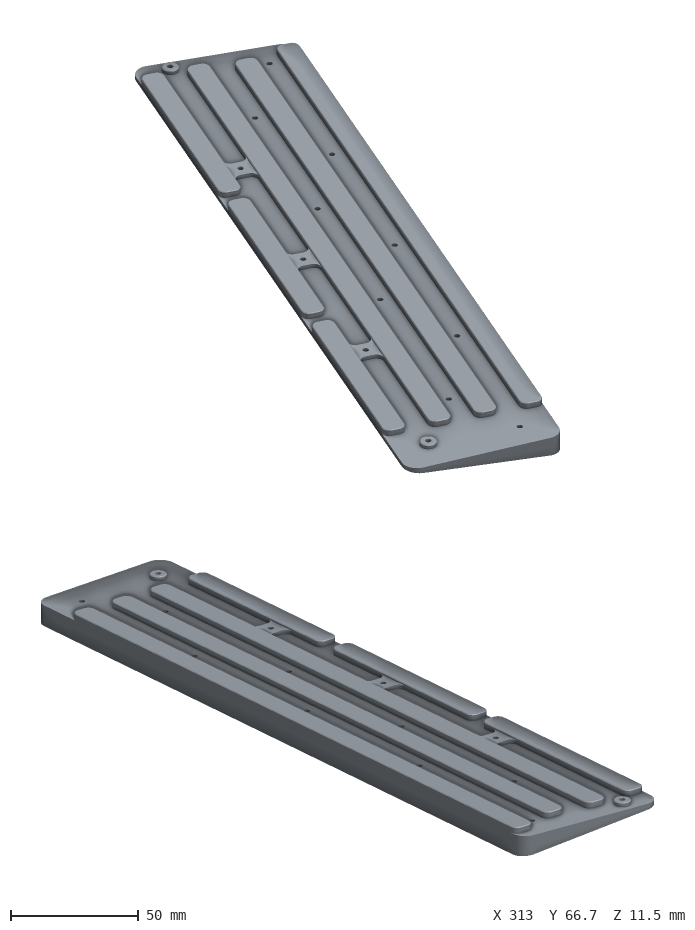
import cadquery as cq
import math

LENGTH = 313.0
DEPTH = 66.7
TOTAL_HEIGHT = 11.5
RIB_HEIGHT = 2.8
FRONT_THICKNESS = 2.0
SIDE_TAPER = 3.8
CORNER_RADIUS = 6.3

ROW_PITCH = 19.0
RIB_WIDTH = 9.5
RIB_CORNER_RADIUS = 3.0
TOP_CHAMFER = 0.3
RIB_RIGHT = 130.5
BACK_RIB_LEFT = -149.0
SECOND_RIB_LEFT = -144.3
FRONT_RIB_LEFT = -147.0
FRONT_GAPS = [(-55.0, -49.2), (39.5, 46.0)]

HOLE_DIAMETER = 2.5
HOLE_DEPTH = 2.0
DRILL_POINT_ANGLE = 118.0
HOLE_PITCH = 70.8
LAST_MIDDLE_HOLE_X = 113.0
PAD_HEIGHT = 2.0
BOSS_DIAMETER = 7.0
LEFT_BOSS_X = -150.3
BRIDGE_LENGTH = 9.0
BRIDGE_FILLET = 3.0

plate_top = TOTAL_HEIGHT - RIB_HEIGHT
front_y = -DEPTH / 2
back_y = DEPTH / 2
back_rib_y = back_y - RIB_WIDTH / 2
front_rib_y = front_y + RIB_WIDTH / 2
second_rib_y = ROW_PITCH / 2
third_rib_y = -ROW_PITCH / 2
back_row_y = ROW_PITCH
middle_row_y = 0.0
front_row_y = -ROW_PITCH

taper_angle = math.atan2(SIDE_TAPER, DEPTH)
corner_angle = math.pi / 2 - taper_angle
corner_setback = CORNER_RADIUS / math.tan(corner_angle / 2)
widest_point_inset = corner_setback - CORNER_RADIUS
front_half_length = LENGTH / 2 + widest_point_inset
back_half_length = front_half_length - SIDE_TAPER


def make_plate():
    side_profile = [
        (front_y, plate_top),
        (back_y, plate_top),
        (back_y, 0),
        (front_y, plate_top - FRONT_THICKNESS),
    ]
    wedge = (
        cq.Workplane("YZ")
        .polyline(side_profile).close()
        .extrude(front_half_length, both=True)
    )
    outline = [
        (-front_half_length, front_y),
        (front_half_length, front_y),
        (back_half_length, back_y),
        (-back_half_length, back_y),
    ]
    trapezoid = (
        cq.Workplane("XY")
        .polyline(outline).close()
        .extrude(plate_top)
        .edges("|Z").fillet(CORNER_RADIUS)
    )
    return wedge.intersect(trapezoid)


def make_rib(left, right, center_y):
    return (
        cq.Workplane("XY", origin=((left + right) / 2, center_y, plate_top))
        .rect(right - left, RIB_WIDTH)
        .extrude(RIB_HEIGHT)
        .edges("|Z").fillet(RIB_CORNER_RADIUS)
        .faces(">Z").edges().chamfer(TOP_CHAMFER)
    )


def make_bridge(center_x):
    """Low pad joining the two front ribs, flaring where it meets them."""
    half_length = BRIDGE_LENGTH / 2
    flared = half_length + BRIDGE_FILLET
    back = third_rib_y - RIB_WIDTH / 2 - front_row_y
    front = front_rib_y + RIB_WIDTH / 2 - front_row_y
    radius = BRIDGE_FILLET
    return (
        cq.Workplane("XY", origin=(center_x, front_row_y, plate_top))
        .moveTo(-flared, front)
        .lineTo(flared, front)
        .radiusArc((half_length, front + radius), radius)
        .lineTo(half_length, back - radius)
        .radiusArc((flared, back), radius)
        .lineTo(-flared, back)
        .radiusArc((-half_length, back - radius), radius)
        .lineTo(-half_length, front + radius)
        .radiusArc((-flared, front), radius)
        .close()
        .extrude(PAD_HEIGHT)
    )


def make_drill(x, y):
    """Blind-hole cutter with a conical tip, tall enough to pass through pads."""
    radius = HOLE_DIAMETER / 2
    tip_length = radius / math.tan(math.radians(DRILL_POINT_ANGLE / 2))
    shank_length = HOLE_DEPTH + RIB_HEIGHT
    return (
        cq.Workplane("XZ", origin=(x, y, plate_top - HOLE_DEPTH))
        .moveTo(0, -tip_length)
        .lineTo(radius, 0)
        .lineTo(radius, shank_length)
        .lineTo(0, shank_length)
        .close()
        .revolve(360, (0, 0, 0), (0, 1, 0))
    )


ribs = [
    (BACK_RIB_LEFT, RIB_RIGHT, back_rib_y),
    (SECOND_RIB_LEFT, RIB_RIGHT, second_rib_y),
    (FRONT_RIB_LEFT, RIB_RIGHT, third_rib_y),
]
segment_left = FRONT_RIB_LEFT
for gap_start, gap_end in FRONT_GAPS:
    ribs.append((segment_left, gap_start, front_rib_y))
    segment_left = gap_end
ribs.append((segment_left, RIB_RIGHT, front_rib_y))

back_hole_xs = [step * HOLE_PITCH for step in (-2, -1, 0, 1, 2)]
middle_hole_xs = [step * HOLE_PITCH for step in (-1.5, -0.5, 0.5)] + [LAST_MIDDLE_HOLE_X]
bridge_xs = [step * HOLE_PITCH for step in (-1, 0, 1)]
boss_xs = [LEFT_BOSS_X, 2 * HOLE_PITCH]

holes = [(x, back_row_y) for x in back_hole_xs]
holes += [(x, middle_row_y) for x in middle_hole_xs]
holes += [(x, front_row_y) for x in bridge_xs + boss_xs]

result = make_plate()
for left, right, center_y in ribs:
    result = result.union(make_rib(left, right, center_y))
for x in bridge_xs:
    result = result.union(make_bridge(x))

bosses = (
    cq.Workplane("XY", origin=(0, 0, plate_top))
    .pushPoints([(x, front_row_y) for x in boss_xs])
    .circle(BOSS_DIAMETER / 2)
    .extrude(PAD_HEIGHT)
    .faces(">Z").edges().chamfer(TOP_CHAMFER)
)
result = result.union(bosses)

for x, y in holes:
    result = result.cut(make_drill(x, y))